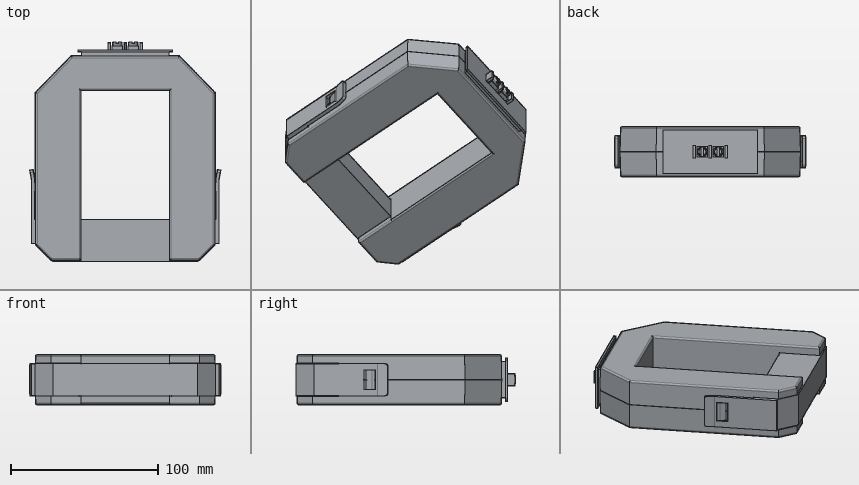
import cadquery as cq
import math


HALF_HEIGHT = 17.0
HALF_WIDTH = 61.3
BACK_Y = 65.3
BACK_HALF_WIDTH = 36.8
REAR_CORNER_Y = 40.2
FRONT_Y = -73.8
FRONT_CORNER = 10.8
WALL_DRAFT = 1.0
EDGE_RADIUS = 1.2
WINDOW_HALF_WIDTH = 30.0
WINDOW_BACK_Y = 41.5
PARTING_GAP = 0.1
LINER_THICKNESS = 1.5

BAR_HALF_WIDTH = 61.4
BAR_FRONT_Y = -74.7
BAR_BACK_Y = -46.0
BAR_HALF_HEIGHT = 10.9
BAR_CORNER = 12.3
BAR_CLEARANCE = 0.3
LATCH_THICKNESS = 2.4
LATCH_BEND_Y = -19.3
LIP_LENGTH = 6.9
LIP_ANGLE = 10.0
LIP_CORNER_RADIUS = 2.0
SLOT_TOP_Y = -20.6
SLOT_BOTTOM_Y = -28.4
SLOT_HALF_HEIGHT = 6.6

CATCH_TOP_Y = -20.9
CATCH_RAMP_Y = -23.0
CATCH_BOTTOM_Y = -26.9
CATCH_HEIGHT = 1.6
CATCH_STEP = 0.6
CATCH_ROOT = 0.7

PLATE_FRONT_Y = 67.8
PLATE_BACK_Y = 69.3
PLATE_HALF_WIDTH = 32.3
PLATE_HALF_HEIGHT = 14.8
NECK_HALF_WIDTH = 29.9
NECK_HALF_HEIGHT = 12.4
BARRIER_TOP_Y = 74.3
BARRIER_HALF_HEIGHT = 4.2
OUTER_BARRIER_WIDTH = 2.0
OUTER_BARRIER_X = 10.9
MIDDLE_BARRIER_WIDTH = 1.5

TERMINAL_X = 5.4
PAD_SIZE = 7.3
PAD_TOP_Y = 72.0
SCREW_RADIUS = 3.3
SCREW_TOP_Y = 74.7
SCREW_RIM_Y = 73.2
SCREW_FLAT_RADIUS = 2.4
SCREW_SLOT_WIDTH = 1.5
SCREW_SLOT_DEPTH = 0.9


def block(x_range, y_range, z_range):
    """Axis-aligned box between the given limits."""
    corners = list(zip(x_range, y_range, z_range))
    size = [high - low for low, high in zip(*corners)]
    return cq.Workplane("XY").box(*size, centered=False).translate(corners[0])


def symmetric(half):
    return (-half, half)


def make_plain_half():
    """Upper housing half, without the liner and the catches."""
    beyond = 2 * BAR_FRONT_Y
    drafted = (
        cq.Workplane("XY")
        .polyline([
            (HALF_WIDTH, beyond),
            (HALF_WIDTH, REAR_CORNER_Y),
            (BACK_HALF_WIDTH, BACK_Y),
            (-BACK_HALF_WIDTH, BACK_Y),
            (-HALF_WIDTH, REAR_CORNER_Y),
            (-HALF_WIDTH, beyond),
        ])
        .close()
        .extrude(HALF_HEIGHT, taper=WALL_DRAFT)
    )

    front_half_width = HALF_WIDTH - FRONT_CORNER
    run = 2 * FRONT_CORNER
    front_limit = (
        cq.Workplane("XY")
        .polyline([
            (-front_half_width, FRONT_Y),
            (front_half_width, FRONT_Y),
            (front_half_width + run, FRONT_Y + run),
            (front_half_width + run, BACK_Y),
            (-front_half_width - run, BACK_Y),
            (-front_half_width - run, FRONT_Y + run),
        ])
        .close()
        .extrude(HALF_HEIGHT)
    )
    window = block(symmetric(WINDOW_HALF_WIDTH), (beyond, WINDOW_BACK_Y), (0, HALF_HEIGHT))
    bar_recess = block(
        symmetric(2 * HALF_WIDTH),
        (beyond, BAR_BACK_Y + BAR_CLEARANCE),
        (0, BAR_HALF_HEIGHT + BAR_CLEARANCE),
    )
    half = drafted.intersect(front_limit).cut(window)
    half = half.faces(">Z").edges().fillet(EDGE_RADIUS)
    seam = block(
        symmetric(2 * HALF_WIDTH),
        (beyond, 2 * BACK_Y),
        (0, PARTING_GAP / 2),
    )
    return half.cut(bar_recess).cut(seam)


def make_liner():
    """Window wall behind the yoke bar, continuous from the upper half down to the lower edge fillet."""
    outer_half_width = WINDOW_HALF_WIDTH + LINER_THICKNESS
    front_y = BAR_BACK_Y + BAR_CLEARANCE
    z_range = (EDGE_RADIUS - HALF_HEIGHT, PARTING_GAP / 2)
    outside = block(symmetric(outer_half_width), (front_y, WINDOW_BACK_Y + LINER_THICKNESS), z_range)
    opening = block(symmetric(WINDOW_HALF_WIDTH), (front_y, WINDOW_BACK_Y), z_range)
    return outside.cut(opening)


def make_catch():
    """Ramped catch on the +X side, spanning the parting plane."""
    root_x = HALF_WIDTH - CATCH_ROOT
    crest_x = HALF_WIDTH + CATCH_HEIGHT
    return (
        cq.Workplane("XY")
        .workplane(offset=-SLOT_HALF_HEIGHT)
        .polyline([
            (root_x, CATCH_TOP_Y),
            (crest_x, CATCH_TOP_Y),
            (crest_x, CATCH_RAMP_Y),
            (HALF_WIDTH + CATCH_STEP, CATCH_BOTTOM_Y),
            (root_x, CATCH_BOTTOM_Y),
        ])
        .close()
        .extrude(2 * SLOT_HALF_HEIGHT)
    )


def make_latch():
    """Slotted spring latch on the +X side, with a flared lip."""
    angle = math.radians(LIP_ANGLE)
    inner_x = BAR_HALF_WIDTH
    outer_x = inner_x + LATCH_THICKNESS
    root_y = BAR_FRONT_Y + BAR_CORNER
    inner_bend_y = LATCH_BEND_Y + LATCH_THICKNESS * math.tan(angle / 2)
    tip_outer = (outer_x + LIP_LENGTH * math.sin(angle), LATCH_BEND_Y + LIP_LENGTH * math.cos(angle))
    tip_inner = (
        tip_outer[0] - LATCH_THICKNESS * math.cos(angle),
        tip_outer[1] + LATCH_THICKNESS * math.sin(angle),
    )
    arm = (
        cq.Workplane("XY")
        .workplane(offset=-BAR_HALF_HEIGHT)
        .polyline([
            (inner_x, root_y),
            (outer_x, root_y),
            (outer_x, LATCH_BEND_Y),
            tip_outer,
            tip_inner,
            (inner_x, inner_bend_y),
        ])
        .close()
        .extrude(2 * BAR_HALF_HEIGHT)
    )
    tip_middle = [(outer + inner) / 2 for outer, inner in zip(tip_outer, tip_inner)]
    for z in symmetric(BAR_HALF_HEIGHT):
        corner = cq.selectors.NearestToPointSelector((*tip_middle, z))
        arm = arm.edges(corner).fillet(LIP_CORNER_RADIUS)
    slot = block(
        (inner_x, outer_x),
        (SLOT_BOTTOM_Y, SLOT_TOP_Y),
        symmetric(SLOT_HALF_HEIGHT),
    )
    return arm.cut(slot)


def make_yoke_bar():
    """Bar that closes the core, with a latch at each end."""
    bar = (
        block(
            symmetric(BAR_HALF_WIDTH),
            (BAR_FRONT_Y, BAR_BACK_Y),
            symmetric(BAR_HALF_HEIGHT),
        )
        .faces("<Y")
        .edges("|Z")
        .chamfer(BAR_CORNER)
    )
    latch = make_latch()
    return bar.union(latch).union(latch.mirror("YZ"))


def make_terminal_block():
    """Plate on a neck that follows the housing's drafted back wall, with three barriers."""
    wall_edge_y = BACK_Y - NECK_HALF_HEIGHT * math.tan(math.radians(WALL_DRAFT))
    neck = (
        cq.Workplane("YZ")
        .polyline([
            (PLATE_FRONT_Y, -NECK_HALF_HEIGHT),
            (PLATE_FRONT_Y, NECK_HALF_HEIGHT),
            (wall_edge_y, NECK_HALF_HEIGHT),
            (BACK_Y, 0),
            (wall_edge_y, -NECK_HALF_HEIGHT),
        ])
        .close()
        .extrude(NECK_HALF_WIDTH, both=True)
    )
    plate = block(
        symmetric(PLATE_HALF_WIDTH),
        (PLATE_FRONT_Y, PLATE_BACK_Y),
        symmetric(PLATE_HALF_HEIGHT),
    )
    terminal_block = neck.union(plate)
    barriers = [
        (-OUTER_BARRIER_X, OUTER_BARRIER_WIDTH),
        (0, MIDDLE_BARRIER_WIDTH),
        (OUTER_BARRIER_X, OUTER_BARRIER_WIDTH),
    ]
    for x, width in barriers:
        barrier = block(
            (x - width / 2, x + width / 2),
            (PLATE_BACK_Y, BARRIER_TOP_Y),
            symmetric(BARRIER_HALF_HEIGHT),
        )
        terminal_block = terminal_block.union(barrier)
    return terminal_block


def make_pad(x):
    """Square contact pad on the terminal plate."""
    half = PAD_SIZE / 2
    return block((x - half, x + half), (PLATE_BACK_Y, PAD_TOP_Y), symmetric(half))


def make_screw(x):
    """Slotted screw head with a rounded shoulder, resting on its pad."""
    shoulder = SCREW_RADIUS - SCREW_FLAT_RADIUS
    rise = SCREW_TOP_Y - SCREW_RIM_Y
    arc_middle = (
        SCREW_FLAT_RADIUS + shoulder * math.cos(math.pi / 4),
        SCREW_RIM_Y + rise * math.sin(math.pi / 4),
    )
    head = (
        cq.Workplane("XY")
        .moveTo(0, PAD_TOP_Y)
        .lineTo(SCREW_RADIUS, PAD_TOP_Y)
        .lineTo(SCREW_RADIUS, SCREW_RIM_Y)
        .threePointArc(arc_middle, (SCREW_FLAT_RADIUS, SCREW_TOP_Y))
        .lineTo(0, SCREW_TOP_Y)
        .close()
        .revolve(360, (0, 0, 0), (0, 1, 0))
    )
    slot = block(
        symmetric(SCREW_SLOT_WIDTH / 2),
        (SCREW_TOP_Y - SCREW_SLOT_DEPTH, SCREW_TOP_Y),
        symmetric(SCREW_RADIUS),
    )
    return head.cut(slot).translate((x, 0, 0))


plain_half = make_plain_half()
liner = make_liner()
lower_half = plain_half.mirror("XY").cut(liner)
catch = make_catch().cut(lower_half)
upper_half = plain_half.union(liner).union(catch).union(catch.mirror("YZ"))
yoke_bar = make_yoke_bar()
terminal_block = make_terminal_block()

terminal_xs = symmetric(TERMINAL_X)
pads = [make_pad(x) for x in terminal_xs]
screws = [make_screw(x) for x in terminal_xs]

bodies = [upper_half, lower_half, yoke_bar, terminal_block, *pads, *screws]
result = cq.Compound.makeCompound([body.solids().val() for body in bodies])